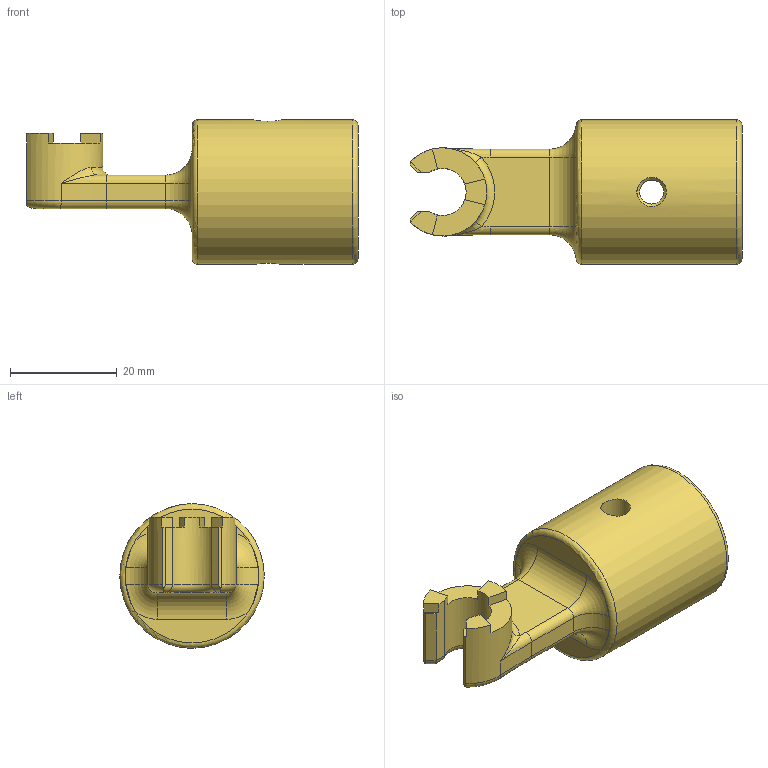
import cadquery as cq
import math

clip_radius = 8.25
clip_bore_radius = 4.4
clip_mouth_width = 7.3
clip_tip_x = -6.1
clip_top = 11.0
clip_base = -3.1
base_fillet = 1.5

lead_in_sum = 5.0
crown_lead_in_sum = 5.75

crown_depth = 1.85
crown_angle = 14.0
crown_corner_y = 0.42

arm_top = 3.15
arm_half_width = 8.0
arm_blend_radius = 150.0
arm_edge_fillet = 1.5
arm_root_fillet = 5.0
arm_clip_fillet = 1.5

body_radius = 13.5
body_start_x = 25.0
body_length = 31.0
body_edge_fillet = 1.0

hole_x = 39.1
hole_wide_diameter = 5.5
hole_narrow_diameter = 4.5
hole_shoulder_z = 0.0

crown_floor = clip_top - crown_depth
face_radius = body_radius - body_edge_fillet
cutter_size = 4 * body_radius
tolerance = 0.01

blend_centre_y = arm_half_width + arm_blend_radius
blend_end_x = math.sqrt((clip_radius + arm_blend_radius) ** 2 - blend_centre_y**2)
blend_angle = math.atan2(blend_end_x, blend_centre_y)


def x_cylinder(radius, start_x, end_x):
    return cq.Workplane("YZ", origin=(start_x, 0, 0)).circle(radius).extrude(end_x - start_x)


def z_plane(z):
    return cq.Workplane("XY", origin=(0, 0, z))


def blend_point(angle):
    """Point on the +Y blend arc, at an angle from its straight end direction (-Y)."""
    return (
        blend_end_x - arm_blend_radius * math.sin(angle),
        blend_centre_y - arm_blend_radius * math.cos(angle),
    )


def mirrored(point):
    return (point[0], -point[1])


def lead_in_cutter(depth_sum, base_z):
    """Wedge that opens the mouth toward -X at 45 degrees to each side."""
    apex_x = clip_tip_x + depth_sum
    return (
        z_plane(base_z)
        .polyline([(apex_x, 0), (apex_x - clip_radius, clip_radius), (apex_x - clip_radius, -clip_radius)])
        .close()
        .extrude(cutter_size)
    )


def clip_opening():
    """Bore, parallel mouth and lead-in of the clip, over its full height."""
    bore = z_plane(clip_base).circle(clip_bore_radius).extrude(cutter_size)
    mouth = (
        z_plane(clip_base)
        .center(-clip_radius / 2, 0)
        .rect(clip_radius, clip_mouth_width)
        .extrude(cutter_size)
    )
    return bore.union(mouth).union(lead_in_cutter(lead_in_sum, clip_base))


def is_arm_side(edge):
    return edge.geomType() == "LINE" or edge.radius() > 2 * clip_radius


def is_ring_edge(edge):
    return edge.geomType() == "CIRCLE" and abs(edge.radius() - clip_radius) < tolerance


def make_arm():
    """Flat arm ending in a disc under the clip, with its long top edges rounded."""
    ring_point = blend_point(blend_angle)
    middle_point = blend_point(blend_angle / 2)
    end_point = (blend_end_x, arm_half_width)
    plate = (
        z_plane(clip_base)
        .moveTo(*ring_point)
        .threePointArc(middle_point, end_point)
        .lineTo(body_start_x, arm_half_width)
        .lineTo(body_start_x, -arm_half_width)
        .lineTo(*mirrored(end_point))
        .threePointArc(mirrored(middle_point), mirrored(ring_point))
        .threePointArc((-clip_radius, 0), ring_point)
        .close()
        .extrude(arm_top - clip_base)
    )
    return plate.faces(">Z").edges("not(>X)").filter(is_arm_side).fillet(arm_edge_fillet)


def add_clip_post(arm):
    """Raise the clip on the arm and round the corner between the two."""
    joined = arm.union(z_plane(clip_base).circle(clip_radius).extrude(clip_top - clip_base))
    corner = joined.edges(
        cq.selectors.BoxSelector(
            (0, -clip_radius, arm_top - tolerance),
            (clip_radius, clip_radius, arm_top + tolerance),
        )
    ).filter(is_ring_edge)
    return corner.fillet(arm_clip_fillet)


def open_clip(part):
    """Cut the clip open, then round every base edge of the clip and arm."""
    opened = part.cut(clip_opening())
    return opened.faces("<Z").edges("not(>X)").fillet(base_fillet)


def add_root_flare(part):
    """Flare the arm out into the body face, trimmed to the flat of that face."""
    wall = cq.Workplane("YZ", origin=(body_start_x, 0, 0)).rect(cutter_size, cutter_size)
    flared = part.union(wall.extrude(body_edge_fillet))
    reach = arm_half_width + tolerance
    root = cq.selectors.BoxSelector(
        (body_start_x - tolerance, -reach, -reach),
        (body_start_x + tolerance, reach, reach),
    )
    flared = flared.edges(root).fillet(arm_root_fillet)
    clip_room = x_cylinder(2 * body_radius, -2 * clip_radius, 2 * clip_radius)
    face_room = x_cylinder(face_radius, 0, body_start_x + body_edge_fillet)
    return flared.intersect(clip_room.union(face_room))


def trim_tips(part):
    """Blunt the two clip tips with a flat facing -X."""
    flat = z_plane(clip_base).center(clip_tip_x - clip_radius, 0).rect(2 * clip_radius, 3 * clip_radius)
    return part.cut(flat.extrude(cutter_size))


def cut_crown(part):
    """Notch the clip top on both sides and set the front posts back at the mouth."""
    for side in (1, -1):
        notch = (
            cq.Workplane("XY", origin=(0, side * crown_corner_y, crown_floor))
            .transformed(rotate=(0, 0, side * crown_angle))
            .center(clip_radius, side * clip_radius)
            .rect(2 * clip_radius, 2 * clip_radius)
            .extrude(2 * crown_depth)
        )
        part = part.cut(notch)
    return part.cut(lead_in_cutter(crown_lead_in_sum, crown_floor))


def make_body():
    body = x_cylinder(body_radius, body_start_x, body_start_x + body_length)
    return body.edges().fillet(body_edge_fillet)


def cross_hole():
    """Stepped round hole with a 45 degree shoulder, the wider part above."""
    wide_radius = hole_wide_diameter / 2
    narrow_radius = hole_narrow_diameter / 2
    return (
        cq.Workplane("XZ", origin=(hole_x, 0, 0))
        .moveTo(0, -body_radius)
        .lineTo(narrow_radius, -body_radius)
        .lineTo(narrow_radius, hole_shoulder_z - (wide_radius - narrow_radius))
        .lineTo(wide_radius, hole_shoulder_z)
        .lineTo(wide_radius, body_radius)
        .lineTo(0, body_radius)
        .close()
        .revolve()
    )


clip_and_arm = add_clip_post(make_arm())
clip_and_arm = add_root_flare(open_clip(clip_and_arm))
clip_and_arm = cut_crown(trim_tips(clip_and_arm))
result = make_body().union(clip_and_arm).cut(cross_hole())